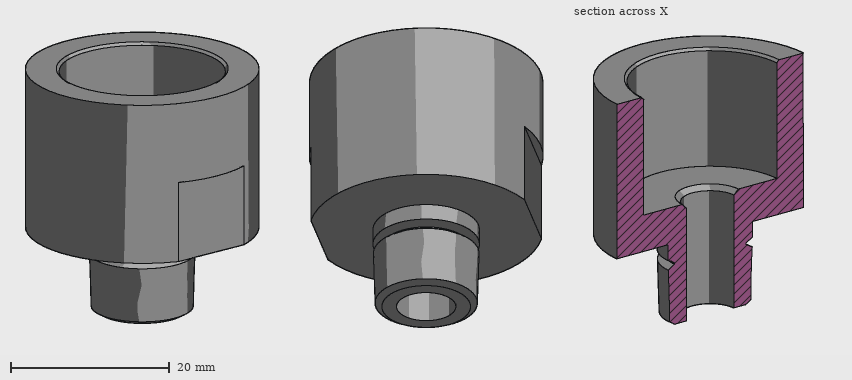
import cadquery as cq

total_height = 32.0
body_diameter = 29.5
body_height = 21.0
shoulder_z = total_height - body_height

across_flats = 27.52
flat_height = body_height / 2

collar_diameter = 13.45
collar_height = 2.08
groove_diameter = 11.4
groove_half_width = 0.58
groove_land = 0.15
nose_top_diameter = 13.35
nose_end_diameter = 12.93
tip_diameter = 11.2
tip_chamfer_height = 0.5

bore_diameter = 21.0
bore_depth = 16.0
bore_chamfer = 0.35
through_diameter = 7.5
countersink_diameter = 8.83


def revolve_profile(points):
    """Revolve a closed (radius, z) outline about the Z axis."""
    return cq.Workplane("XZ").polyline(points).close().revolve(360, (0, 0), (0, 1))


def make_outside():
    collar_bottom_z = shoulder_z - collar_height
    groove_top_z = collar_bottom_z - groove_half_width
    groove_bottom_z = groove_top_z - groove_land
    nose_top_z = groove_bottom_z - groove_half_width
    return revolve_profile([
        (0, 0),
        (tip_diameter / 2, 0),
        (nose_end_diameter / 2, tip_chamfer_height),
        (nose_top_diameter / 2, nose_top_z),
        (groove_diameter / 2, groove_bottom_z),
        (groove_diameter / 2, groove_top_z),
        (collar_diameter / 2, collar_bottom_z),
        (collar_diameter / 2, shoulder_z),
        (body_diameter / 2, shoulder_z),
        (body_diameter / 2, total_height),
        (0, total_height),
    ])


def make_bore():
    floor_z = total_height - bore_depth
    bore_radius = bore_diameter / 2
    through_radius = through_diameter / 2
    countersink_radius = countersink_diameter / 2
    countersink_depth = countersink_radius - through_radius
    return revolve_profile([
        (0, 0),
        (through_radius, 0),
        (through_radius, floor_z - countersink_depth),
        (countersink_radius, floor_z),
        (bore_radius, floor_z),
        (bore_radius, total_height - bore_chamfer),
        (bore_radius + bore_chamfer, total_height),
        (0, total_height),
    ])


def make_flat_cutter(side):
    """Block removed outside one flat; side is -1 or +1 along X."""
    cutter_depth = body_diameter / 2
    center_x = side * (across_flats + cutter_depth) / 2
    return (
        cq.Workplane("XY", origin=(center_x, 0, shoulder_z))
        .box(cutter_depth, body_diameter, flat_height, centered=(True, True, False))
    )


result = make_outside().cut(make_bore())
for side in (-1, 1):
    result = result.cut(make_flat_cutter(side))